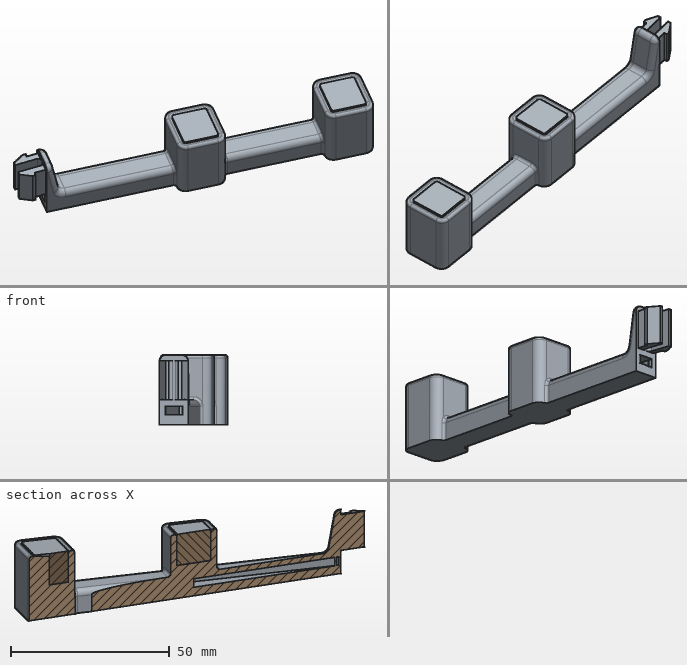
import cadquery as cq
import math


total_length = 114.1
total_height = 22.0
clip_length = 8.4
arm_end = total_length - clip_length

lean_angle = 5.0
arm_width = 9.1
arm_height = 7.9
edge_radius = 2.0

post_width = 16.1
post_depth = 15.7
post_pitch = 48.0
post_corner_radius = 3.0
post_root_radius = 1.0

rim_radius = 1.0
rim_land = 0.2

insert_height = 10.6

bracket_top_thickness = 2.0
bracket_back_angle = 10.0
bracket_corner_radius = 2.2
bracket_root_radius = 2.0

clip_bottom = 7.9
clip_top = 20.2
prong_inner = 1.5
prong_outer = 3.5
prong_tip = 2.5
barb_reach = arm_width / 2
barb_start = 3.8
barb_end = 4.8
prong_root_radius = 1.0

channel_width = 5.2
channel_height = 2.7
channel_bottom = 3.1
mouth_width = 5.5
mouth_depth = 1.5

lean = math.tan(math.radians(lean_angle))
post_wall = 2 * rim_radius + rim_land
far_post_front = arm_end - post_depth
post_fronts = [far_post_front - post_pitch, far_post_front]
near_post_middle = post_fronts[0] + post_depth / 2
insert_bottom = total_height - insert_height
margin = 0.1


def leaning_block(width, y_start, y_end, z_bottom, z_top):
    """Block whose sides follow the lean of the arm and whose ends are parallel to X."""
    half = width / 2
    corners = [
        (y_start * lean - half, y_start),
        (y_start * lean + half, y_start),
        (y_end * lean + half, y_end),
        (y_end * lean - half, y_end),
    ]
    base = cq.Workplane("XY", origin=(0, 0, z_bottom))
    return base.polyline(corners).close().extrude(z_top - z_bottom)


def box_around(x, y, z, half_x, half_y, half_z):
    """Selector for everything centred inside a box given by its middle and half sizes."""
    return cq.selectors.BoxSelector(
        (x - half_x, y - half_y, z - half_z),
        (x + half_x, y + half_y, z + half_z),
    )


def make_beam():
    """Arm with the upright bracket at its front end, rounded along their upper edges."""
    slope = math.tan(math.radians(bracket_back_angle))
    root_y = bracket_top_thickness + (total_height - arm_height) * slope
    beam_end = far_post_front + post_wall / 2
    side_profile = [
        (0, 0),
        (beam_end, 0),
        (beam_end, arm_height),
        (root_y, arm_height),
        (bracket_top_thickness, total_height),
        (0, total_height),
    ]
    sweep_width = 2 * (arm_width + arm_end * lean)
    profile = cq.Workplane("YZ").polyline(side_profile).close().extrude(sweep_width / 2, both=True)
    beam = profile.intersect(leaning_block(arm_width, 0, arm_end, 0, total_height))

    root_edge = box_around(0, root_y, arm_height, arm_width, margin, margin)
    beam = beam.edges(root_edge).fillet(bracket_root_radius)

    top_middle = bracket_top_thickness / 2
    top_corners = box_around(0, top_middle, total_height, arm_width, margin, margin)
    beam = beam.edges(top_corners).fillet(bracket_corner_radius)

    back_top_edge = box_around(0, bracket_top_thickness, total_height, arm_width, margin, margin)
    return beam.edges(back_top_edge).fillet(edge_radius)


def round_post_root(body, y):
    """Fillet where the arm meets a post face at the given Y."""
    root_edges = box_around(
        y * lean, y, arm_height / 2 + margin, arm_width / 2 + margin, margin, arm_height / 2
    )
    return body.edges(root_edges).fillet(post_root_radius)


def add_post(body, front):
    """Post with rounded upright edges."""
    post = leaning_block(post_width, front, front + post_depth, 0, total_height)
    return body.union(post.edges("|Z").fillet(post_corner_radius))


def make_insert(front):
    """Block that fills the recess of one post and ends level with its top."""
    width = post_width - 2 * post_wall
    block = leaning_block(
        width, front + post_wall, front + post_depth - post_wall, insert_bottom, total_height
    )
    return block.edges("|Z").fillet(post_corner_radius - post_wall)


def finish_post_top(body, front):
    """Recess for the insert and the rim rounded on both sides."""
    middle = front + post_depth / 2
    top_face = box_around(middle * lean, middle, total_height, post_width, post_depth, margin)
    body = body.faces(top_face).edges().fillet(rim_radius)
    body = body.cut(make_insert(front))
    recess_edge = body.faces(top_face).wires(cq.selectors.LengthNthSelector(0))
    return recess_edge.edges().fillet(rim_radius)


def cut_channel(body):
    """Blind channel along the arm, open at the bracket face and ending inside the near post."""
    channel_top = channel_bottom + channel_height
    channel = leaning_block(channel_width, 0, near_post_middle, channel_bottom, channel_top)
    mouth = leaning_block(mouth_width, 0, mouth_depth, channel_bottom, channel_top)
    return body.cut(channel).cut(mouth)


def make_prong(side):
    """One barbed prong on the -X (side = -1) or +X (side = 1) side of the clip."""
    outline = [
        (side * prong_inner, 0),
        (side * prong_inner, -clip_length),
        (side * prong_tip, -clip_length),
        (side * barb_reach, -barb_end),
        (side * barb_reach, -barb_start),
        (side * prong_outer, -barb_start),
        (side * prong_outer, 0),
    ]
    base = cq.Workplane("XY", origin=(0, 0, clip_bottom))
    return base.polyline(outline).close().extrude(clip_top - clip_bottom)


def add_clip(body):
    """Two prongs with rounded inner roots."""
    for side in (-1, 1):
        body = body.union(make_prong(side))
    clip_middle = (clip_bottom + clip_top) / 2
    inner_roots = box_around(0, 0, clip_middle, prong_inner + margin, margin, margin)
    return body.edges(inner_roots).fillet(prong_root_radius)


def make_housing():
    """Arm, bracket, posts and clip in one piece."""
    housing = make_beam()
    for front in post_fronts:
        housing = add_post(housing, front)
    near_front, far_front = post_fronts
    for face_y in (near_front, near_front + post_depth, far_front):
        housing = round_post_root(housing, face_y)
    for front in post_fronts:
        housing = finish_post_top(housing, front)
    housing = cut_channel(housing)
    return add_clip(housing)


housing = make_housing()
inserts = [make_insert(front) for front in post_fronts]

result = cq.Compound.makeCompound([housing.val(), *[insert.val() for insert in inserts]])